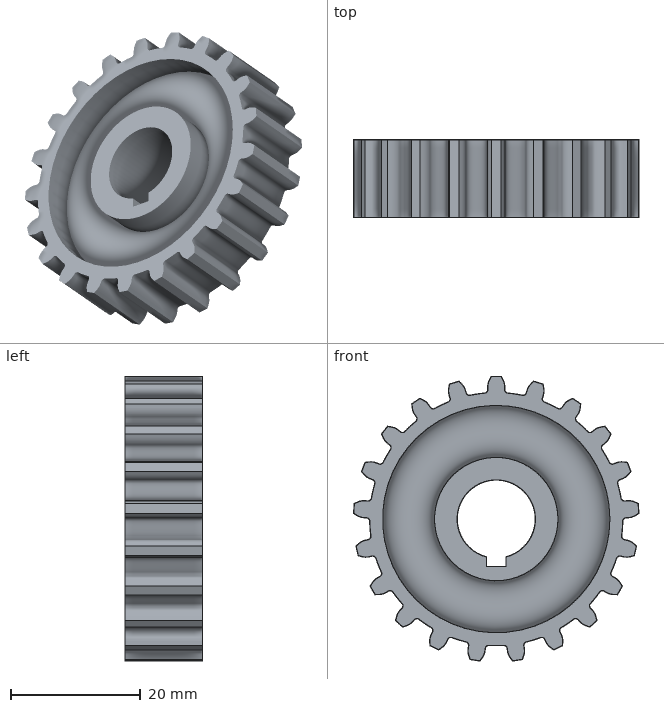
import cadquery as cq
import math

tooth_count = 21
tip_radius = 22.0
root_radius = 19.5
face_width = 12.0

tooth_half_width = 1.32
tip_half_width = 0.76
tip_taper_angle = 28.0
tip_taper_base = 21.41
root_fillet = 0.5

recess_radius = 17.5
recess_depth = 4.8
hub_radius = 9.5
bore_radius = 6.0
keyway_width = 3.0
keyway_depth = 1.3

front_y = -face_width / 2
back_y = face_width / 2


def disc(radius, y_start, length):
    """Cylinder about the Y axis, starting at y_start and running toward -Y."""
    return cq.Workplane("XZ", origin=(0, y_start, 0)).circle(radius).extrude(length)


def make_tooth():
    """Tooth pointing along +Z, with fillets blending it into the root circle."""
    taper = math.radians(tip_taper_angle)
    tip_height = math.sqrt(tip_radius**2 - tip_half_width**2)
    taper_half_width = tip_half_width + (tip_height - tip_taper_base) * math.tan(taper)

    curve_radius = (tooth_half_width - taper_half_width) / (1 - math.cos(taper))
    curve_base = tip_taper_base - curve_radius * math.sin(taper)
    curve_mid_x = tooth_half_width - curve_radius * (1 - math.cos(taper / 2))
    curve_mid_z = curve_base + curve_radius * math.sin(taper / 2)

    fillet_x = tooth_half_width + root_fillet
    fillet_centre_radius = root_radius + root_fillet
    fillet_z = math.sqrt(fillet_centre_radius**2 - fillet_x**2)
    root_x = fillet_x * root_radius / fillet_centre_radius
    root_z = fillet_z * root_radius / fillet_centre_radius
    bisector = (math.pi + math.atan2(-fillet_z, -fillet_x) % (2 * math.pi)) / 2
    fillet_mid_x = fillet_x + root_fillet * math.cos(bisector)
    fillet_mid_z = fillet_z + root_fillet * math.sin(bisector)

    return (
        cq.Workplane("XZ", origin=(0, back_y, 0))
        .moveTo(-root_x, root_z)
        .threePointArc((-fillet_mid_x, fillet_mid_z), (-tooth_half_width, fillet_z))
        .lineTo(-tooth_half_width, curve_base)
        .threePointArc((-curve_mid_x, curve_mid_z), (-taper_half_width, tip_taper_base))
        .lineTo(-tip_half_width, tip_height)
        .lineTo(tip_half_width, tip_height)
        .lineTo(taper_half_width, tip_taper_base)
        .threePointArc((curve_mid_x, curve_mid_z), (tooth_half_width, curve_base))
        .lineTo(tooth_half_width, fillet_z)
        .threePointArc((fillet_mid_x, fillet_mid_z), (root_x, root_z))
        .lineTo(root_x, recess_radius)
        .lineTo(-root_x, recess_radius)
        .close()
        .extrude(face_width)
    )


def make_toothed_blank():
    blank = disc(root_radius, back_y, face_width)
    tooth = make_tooth()
    for index in range(tooth_count):
        angle = index * 360 / tooth_count
        blank = blank.union(tooth.rotate((0, 0, 0), (0, 1, 0), angle))
    return blank


def make_recess():
    """Ring-shaped pocket between the hub and the rim, open at the -Y face."""
    floor_y = front_y + recess_depth
    return disc(recess_radius, floor_y, recess_depth).cut(disc(hub_radius, floor_y, recess_depth))


def make_keyed_bore():
    """Through bore with a keyway at its -Z side."""
    keyway_height = bore_radius + keyway_depth
    keyway = (
        cq.Workplane("XZ", origin=(0, back_y, 0))
        .center(0, -keyway_height / 2)
        .rect(keyway_width, keyway_height)
        .extrude(face_width)
    )
    return disc(bore_radius, back_y, face_width).union(keyway)


result = make_toothed_blank().cut(make_recess()).cut(make_keyed_bore())